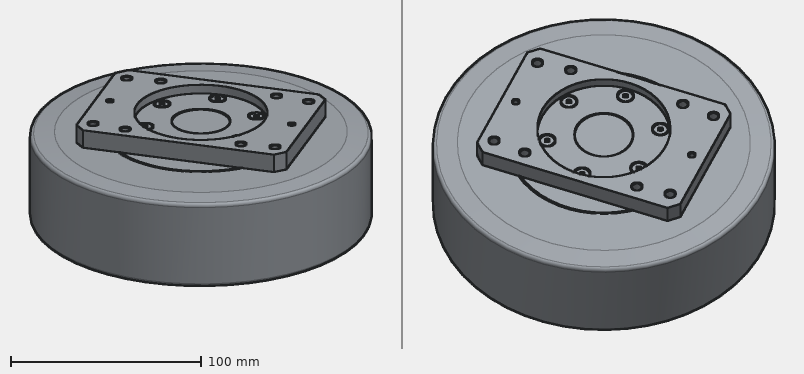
import cadquery as cq
import math

wheel_diameter = 179.8
wheel_width = 49.8
flat_diameter = 154.0
cone_drop = 0.9
rim_radius = 2.0

seam_inner_diameter = 100.0
seam_width = 0.5
seam_depth = 0.5

hub_diameter = 70.0
plate_gap = 1.0
plate_length = 115.5
plate_width = 79.9
plate_thickness = 10.0
corner_chamfer = 5.2

recess_depth = 5.0
dish_diameter = 30.4
dish_mouth_diameter = 31.1

screw_count = 6
screw_circle_radius = 30.0
screw_head_diameter = 8.0
screw_mouth_diameter = 9.0
socket_diameter = 2.5
socket_depth = 1.0

thread_core_diameter = 5.0
thread_mouth_diameter = 6.0
outer_hole_x = 50.0
outer_hole_y = 30.0
inner_hole_offset = 31.8
dowel_diameter = 3.0
dowel_mouth_diameter = 4.0
dowel_depth = 7.2
drill_point_angle = 118

wheel_top = wheel_width
plate_bottom = wheel_top + plate_gap
plate_top = plate_bottom + plate_thickness
recess_floor = plate_top - recess_depth


def disc(diameter, bottom, height):
    """Upright cylinder on the Z axis."""
    return cq.Workplane("XY", origin=(0, 0, bottom)).circle(diameter / 2).extrude(height)


def ring_groove(inner_diameter, width, top, depth):
    """Cutter for a ring-shaped groove that opens at height top."""
    outer = disc(inner_diameter + 2 * width, top - depth, depth)
    return outer.cut(disc(inner_diameter, top - depth, depth))


def countersink(floor_diameter, mouth_diameter, top):
    """Cutter for a 45 degree countersink that opens at height top."""
    depth = (mouth_diameter - floor_diameter) / 2
    base = cq.Vector(0, 0, top - depth)
    return cq.Workplane(cq.Solid.makeCone(floor_diameter / 2, mouth_diameter / 2, depth, base))


def drill_point(diameter, top):
    """Cutter for the conical bottom of a drilled blind hole."""
    depth = diameter / 2 / math.tan(math.radians(drill_point_angle / 2))
    base = cq.Vector(0, 0, top - depth)
    return cq.Workplane(cq.Solid.makeCone(0, diameter / 2, depth, base))


def make_wheel():
    radius = wheel_diameter / 2
    flat_radius = flat_diameter / 2
    rim_inner_radius = radius - rim_radius
    rim_bottom = cone_drop + rim_radius
    rim_top = wheel_top - rim_bottom
    profile = (
        cq.Workplane("XZ")
        .moveTo(0, 0)
        .lineTo(flat_radius, 0)
        .lineTo(rim_inner_radius, cone_drop)
        .radiusArc((radius, rim_bottom), -rim_radius)
        .lineTo(radius, rim_top)
        .radiusArc((rim_inner_radius, wheel_top - cone_drop), -rim_radius)
        .lineTo(flat_radius, wheel_top)
        .lineTo(0, wheel_top)
        .close()
    )
    wheel = profile.revolve(360, (0, 0, 0), (0, 1, 0))
    return wheel.cut(ring_groove(seam_inner_diameter, seam_width, wheel_top, seam_depth))


def make_plate():
    plate = (
        cq.Workplane("XY", origin=(0, 0, plate_bottom))
        .rect(plate_length, plate_width)
        .extrude(plate_thickness)
        .edges("|Z")
        .chamfer(corner_chamfer)
    )
    return plate.cut(disc(hub_diameter, recess_floor, recess_depth))


def cut_hub_details(body):
    body = body.cut(countersink(dish_diameter, dish_mouth_diameter, recess_floor))
    screw = countersink(screw_head_diameter, screw_mouth_diameter, recess_floor)
    seat_depth = (screw_mouth_diameter - screw_head_diameter) / 2
    screw = screw.cut(disc(screw_head_diameter, recess_floor - seat_depth, seat_depth))
    screw = screw.union(disc(socket_diameter, recess_floor - socket_depth, socket_depth))
    screw = screw.translate((0, screw_circle_radius, 0))
    for index in range(screw_count):
        body = body.cut(screw.rotate((0, 0, 0), (0, 0, 1), index * 360 / screw_count))
    return body


def mirrored_points(x, y):
    return [(x, y), (-x, y), (-x, -y), (x, -y)]


def cut_plate_holes(body):
    outer_holes = mirrored_points(outer_hole_x, outer_hole_y)
    inner_holes = mirrored_points(inner_hole_offset, inner_hole_offset)

    threaded_hole = disc(thread_core_diameter, plate_bottom, plate_thickness)
    threaded_hole = threaded_hole.union(countersink(thread_core_diameter, thread_mouth_diameter, plate_top))
    for x, y in outer_holes + inner_holes:
        body = body.cut(threaded_hole.translate((x, y, 0)))

    dowel_hole = disc(dowel_diameter, plate_top - dowel_depth, dowel_depth)
    dowel_hole = dowel_hole.union(drill_point(dowel_diameter, plate_top - dowel_depth))
    dowel_hole = dowel_hole.union(countersink(dowel_diameter, dowel_mouth_diameter, plate_top))
    for x in (-outer_hole_x, outer_hole_x):
        body = body.cut(dowel_hole.translate((x, 0, 0)))
    return body


hub = disc(hub_diameter, wheel_top, plate_gap)
body = make_wheel().union(hub).union(make_plate())
result = cut_plate_holes(cut_hub_details(body))